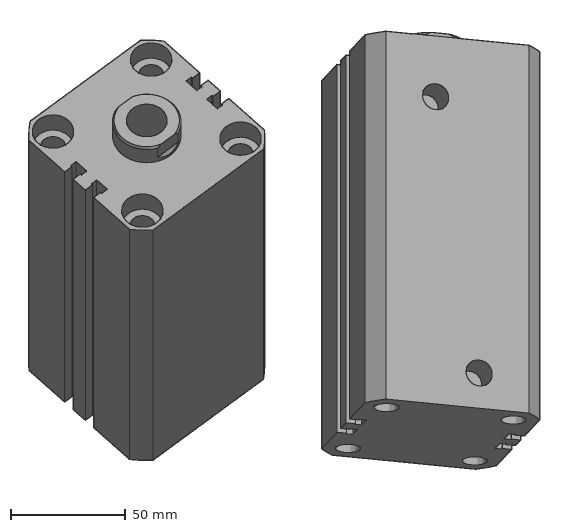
import cadquery as cq
import math

TOTAL_HEIGHT = 181.0
HOUSING_WIDTH = 80.0
ROD_PROJECTION = 10.9
HOUSING_HEIGHT = TOTAL_HEIGHT - ROD_PROJECTION

CORNER_CUT = 7.2

BOLT_SPACING = 58.1
BOLT_HOLE_DIAMETER = 11.0
BOLT_HEAD_DIAMETER = 18.1
BOLT_HEAD_DEPTH = 11.2

SLOT_OFFSET = 6.7
SLOT_MOUTH_WIDTH = 5.5
SLOT_INNER_WIDTH = 6.9
SLOT_LIP = 4.3
SLOT_DEPTH = 7.5

PORT_MOUTH_DIAMETER = 12.0
PORT_TAPER = 1 / 16
PORT_DEPTH = 14.5
PORT_OFFSET = 10.0
LOWER_PORT_HEIGHT = 16.3
UPPER_PORT_DROP = 28.0

ROD_DIAMETER = 30.0
ROD_LENGTH = 54.3
ROD_BOTTOM = TOTAL_HEIGHT - ROD_LENGTH
ROD_CHAMFER_WIDTH = 0.7
ROD_CHAMFER_HEIGHT = 1.0
FLATS_WIDTH = 27.5
FLATS_HEIGHT = 7.8
RUN_OUT_HEIGHT = 1.8
ROD_HOLE_DIAMETER = 17.7
ROD_HOLE_DEPTH = 29.0
DRILL_POINT_ANGLE = 118.0


def make_block():
    """Square block whose four corners are arcs about the cylinder axis."""
    side = HOUSING_WIDTH / 2
    corner = side - CORNER_CUT
    corner_mid = math.hypot(side, corner) / math.sqrt(2)
    return (
        cq.Workplane("XY")
        .moveTo(-corner, -side)
        .lineTo(corner, -side)
        .threePointArc((corner_mid, -corner_mid), (side, -corner))
        .lineTo(side, corner)
        .threePointArc((corner_mid, corner_mid), (corner, side))
        .lineTo(-corner, side)
        .threePointArc((-corner_mid, corner_mid), (-side, corner))
        .lineTo(-side, -corner)
        .threePointArc((-corner_mid, -corner_mid), (-corner, -side))
        .close()
        .extrude(HOUSING_HEIGHT)
    )


def drill_bolt_holes(block):
    return (
        block.faces(">Z")
        .workplane(origin=(0, 0, HOUSING_HEIGHT))
        .rect(BOLT_SPACING, BOLT_SPACING, forConstruction=True)
        .vertices()
        .cboreHole(BOLT_HOLE_DIAMETER, BOLT_HEAD_DIAMETER, BOLT_HEAD_DEPTH)
    )


def make_sensor_slot(x, side):
    """Full-height T-slot cutter at x in the -Y (side = -1) or +Y (side = 1) face."""
    face = side * HOUSING_WIDTH / 2
    floor = face - side * SLOT_DEPTH
    inner_depth = SLOT_DEPTH - SLOT_LIP
    mouth = (
        cq.Workplane("XY")
        .center(x, (face + floor) / 2)
        .rect(SLOT_MOUTH_WIDTH, SLOT_DEPTH)
        .extrude(HOUSING_HEIGHT)
    )
    inner = (
        cq.Workplane("XY")
        .center(x, floor + side * inner_depth / 2)
        .rect(SLOT_INNER_WIDTH, inner_depth)
        .extrude(HOUSING_HEIGHT)
    )
    return mouth.union(inner)


def make_port(y, z):
    """Blind pipe-taper port cutter entering from the -X face."""
    floor_diameter = PORT_MOUTH_DIAMETER - PORT_TAPER * PORT_DEPTH
    return (
        cq.Workplane("YZ", origin=(-HOUSING_WIDTH / 2, y, z))
        .circle(PORT_MOUTH_DIAMETER / 2)
        .workplane(offset=PORT_DEPTH)
        .circle(floor_diameter / 2)
        .loft()
    )


def make_rod_bore():
    """Recess in the housing that the rod fills."""
    return (
        cq.Workplane("XY", origin=(0, 0, ROD_BOTTOM))
        .circle(ROD_DIAMETER / 2)
        .extrude(HOUSING_HEIGHT - ROD_BOTTOM)
    )


def make_housing():
    housing = drill_bolt_holes(make_block())
    for side in (-1, 1):
        for x in (-SLOT_OFFSET, SLOT_OFFSET):
            housing = housing.cut(make_sensor_slot(x, side))
    housing = housing.cut(make_port(-PORT_OFFSET, LOWER_PORT_HEIGHT))
    housing = housing.cut(make_port(PORT_OFFSET, HOUSING_HEIGHT - UPPER_PORT_DROP))
    return housing.cut(make_rod_bore())


def make_rod_blank():
    """Turned rod with a chamfered end and a drilled hole, revolved about Z."""
    radius = ROD_DIAMETER / 2
    hole_radius = ROD_HOLE_DIAMETER / 2
    hole_bottom = TOTAL_HEIGHT - ROD_HOLE_DEPTH
    point_depth = hole_radius / math.tan(math.radians(DRILL_POINT_ANGLE / 2))
    return (
        cq.Workplane("XZ")
        .moveTo(0, ROD_BOTTOM)
        .lineTo(radius, ROD_BOTTOM)
        .lineTo(radius, TOTAL_HEIGHT - ROD_CHAMFER_HEIGHT)
        .lineTo(radius - ROD_CHAMFER_WIDTH, TOTAL_HEIGHT)
        .lineTo(hole_radius, TOTAL_HEIGHT)
        .lineTo(hole_radius, hole_bottom)
        .lineTo(0, hole_bottom - point_depth)
        .close()
        .revolve(360, (0, 0, 0), (0, 1, 0))
    )


def make_flat(side):
    """Cutter for one wrench flat (side = -1 or 1) with a sloping run-out below it."""
    flat = FLATS_WIDTH / 2
    outside = ROD_DIAMETER / 2
    flat_bottom = TOTAL_HEIGHT - FLATS_HEIGHT
    return (
        cq.Workplane("XZ")
        .moveTo(side * flat, TOTAL_HEIGHT)
        .lineTo(side * outside, TOTAL_HEIGHT)
        .lineTo(side * outside, flat_bottom - RUN_OUT_HEIGHT)
        .lineTo(side * flat, flat_bottom)
        .close()
        .extrude(ROD_DIAMETER / 2, both=True)
    )


def make_rod():
    rod = make_rod_blank()
    for side in (-1, 1):
        rod = rod.cut(make_flat(side))
    return rod


housing = make_housing()
rod = make_rod()
result = cq.Compound.makeCompound([housing.val(), rod.val()])